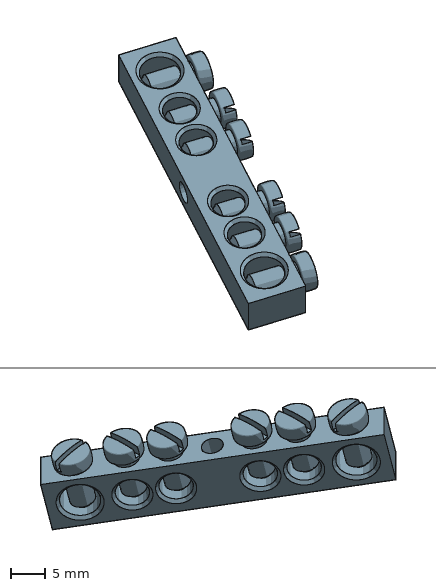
import cadquery as cq

BAR_LENGTH = 51.0
BAR_DEPTH = 9.0
BAR_HEIGHT = 6.0
MOUNT_HOLE_DIAMETER = 3.24

LARGE_WIRE_DIAMETER = 6.0
SMALL_WIRE_DIAMETER = 5.0
WIRE_CHAMFER = 0.5
LARGE_WIRE_X = 20.5
SMALL_WIRE_X = 12.75
SMALL_WIRE_PITCH = 6.5

SHANK_DIAMETER = 3.9
SHANK_LENGTH = 7.8
TIP_CHAMFER = 0.8
HEAD_EDGE_RADIUS = 2.85
HEAD_MIDDLE_RADIUS = 2.92
HEAD_SIDE_HEIGHT = 2.2
HEAD_HEIGHT = 2.45
HEAD_FILLET = 0.2
DOME_RISE = HEAD_HEIGHT - HEAD_SIDE_HEIGHT
DOME_RADIUS = (HEAD_EDGE_RADIUS**2 + DOME_RISE**2) / (2 * DOME_RISE)
SLOT_WIDTH = 0.8
SLOT_DEPTH = 1.85
SLOT_ANGLE = 45.0
SLOT_CUT_LENGTH = 3 * HEAD_MIDDLE_RADIUS

LARGE_HEAD_GAP = 0.6
SMALL_HEAD_GAP = 1.2

SMALL_WIRE_INNER_X = SMALL_WIRE_X - SMALL_WIRE_PITCH
TERMINALS = []
for side in (-1, 1):
    TERMINALS.append((side * LARGE_WIRE_X, LARGE_WIRE_DIAMETER, LARGE_HEAD_GAP, SLOT_ANGLE))
    for distance in (SMALL_WIRE_X, SMALL_WIRE_INNER_X):
        TERMINALS.append((side * distance, SMALL_WIRE_DIAMETER, SMALL_HEAD_GAP, -SLOT_ANGLE))


def wire_hole(x, diameter):
    """Through hole along Z with a conical chamfer at both mouths."""
    radius = diameter / 2
    mouth_radius = radius + WIRE_CHAMFER
    half_height = BAR_HEIGHT / 2
    profile = (
        cq.Workplane("XZ")
        .moveTo(0, -half_height)
        .lineTo(mouth_radius, -half_height)
        .lineTo(radius, -half_height + WIRE_CHAMFER)
        .lineTo(radius, half_height - WIRE_CHAMFER)
        .lineTo(mouth_radius, half_height)
        .lineTo(0, half_height)
        .close()
    )
    return profile.revolve(360, (0, 0), (0, 1)).translate((x, 0, 0))


def cylinder_along_y(x, diameter, y_start, y_end):
    """Cylinder parallel to Y between two Y positions."""
    return cq.Workplane(
        cq.Solid.makeCylinder(diameter / 2, y_end - y_start, cq.Vector(x, y_start, 0), cq.Vector(0, 1, 0))
    )


def make_bar():
    """Rectangular bar with a central mounting hole, wire holes and screw holes."""
    half_depth = BAR_DEPTH / 2
    bar = cq.Workplane("XY").box(BAR_LENGTH, BAR_DEPTH, BAR_HEIGHT)
    bar = bar.cut(cylinder_along_y(0, MOUNT_HOLE_DIAMETER, -half_depth, half_depth))
    for x, wire_diameter, _, _ in TERMINALS:
        bar = bar.cut(wire_hole(x, wire_diameter))
        bar = bar.cut(cylinder_along_y(x, SHANK_DIAMETER, 0, half_depth))
    return bar


def make_screw(x, head_gap, slot_angle):
    """Slotted screw with a barrel-sided, slightly domed head with rounded rims, and a chamfered tip."""
    shank = cylinder_along_y(0, SHANK_DIAMETER, -SHANK_LENGTH, 0).faces("<Y").chamfer(TIP_CHAMFER)
    head = (
        cq.Workplane("XY")
        .lineTo(HEAD_EDGE_RADIUS, 0)
        .threePointArc((HEAD_MIDDLE_RADIUS, HEAD_SIDE_HEIGHT / 2), (HEAD_EDGE_RADIUS, HEAD_SIDE_HEIGHT))
        .radiusArc((0, HEAD_HEIGHT), -DOME_RADIUS)
        .close()
        .revolve(360, (0, 0), (0, 1))
    )
    head = head.edges(cq.selectors.RadiusNthSelector(0)).fillet(HEAD_FILLET)
    slot = (
        cq.Workplane("XY")
        .box(SLOT_CUT_LENGTH, 2 * SLOT_DEPTH, SLOT_WIDTH)
        .translate((0, HEAD_HEIGHT, 0))
        .rotate((0, 0, 0), (0, 1, 0), slot_angle)
    )
    return shank.union(head.cut(slot)).translate((x, BAR_DEPTH / 2 + head_gap, 0))


bar = make_bar()
screws = [make_screw(x, head_gap, slot_angle) for x, _, head_gap, slot_angle in TERMINALS]

result = cq.Compound.makeCompound([bar.val(), *[screw.val() for screw in screws]])